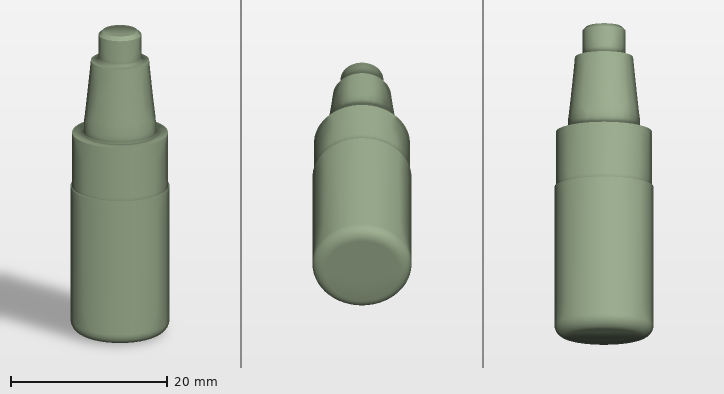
import cadquery as cq

barrel_height = 19.05
flange_top = 19.6
shoulder_height = 26.85
taper_start = 29.27
taper_end = 36.62
total_height = 40.6

barrel_radius = 12.7 / 2
bottom_fillet = 1.5

collar_radius = 12.3 / 2
nozzle_root_radius = 4.63
nozzle_mid_radius = 4.63
taper_start_radius = 4.5
taper_end_radius = 3.75
nozzle_fillet = 0.25
tip_radius = 5.5 / 2
tip_fillet = 0.5
tip_chamfer = 0.5

FILLET_MID = 1 - 0.5 ** 0.5


def add_root_fillet(profile, radius, base_height, size):
    """Extend a profile from a flat shoulder up a concave fillet to the given radius."""
    return profile.lineTo(radius + size, base_height).threePointArc(
        (radius + FILLET_MID * size, base_height + FILLET_MID * size),
        (radius, base_height + size),
    )


def make_barrel():
    """Solid cylinder with a rounded bottom edge."""
    barrel = cq.Workplane("XY").circle(barrel_radius).extrude(barrel_height)
    return barrel.faces("<Z").edges().fillet(bottom_fillet)


def make_cap():
    """Turned cap: flange flush with the barrel, collar, bulged nozzle root, taper and tip."""
    profile = (
        cq.Workplane("XZ")
        .moveTo(0, barrel_height)
        .lineTo(barrel_radius, barrel_height)
        .lineTo(barrel_radius, flange_top)
        .lineTo(collar_radius, flange_top)
        .lineTo(collar_radius, shoulder_height)
    )
    profile = add_root_fillet(profile, nozzle_root_radius, shoulder_height, nozzle_fillet)
    root_mid_height = (shoulder_height + nozzle_fillet + taper_start) / 2
    profile = (
        profile.threePointArc((nozzle_mid_radius, root_mid_height), (taper_start_radius, taper_start))
        .lineTo(taper_end_radius, taper_end)
    )
    profile = add_root_fillet(profile, tip_radius, taper_end, tip_fillet)
    profile = (
        profile.lineTo(tip_radius, total_height - tip_chamfer)
        .lineTo(tip_radius - tip_chamfer, total_height)
        .lineTo(0, total_height)
        .close()
    )
    return profile.revolve(360, (0, 0, 0), (0, 1, 0))


barrel = make_barrel()
cap = make_cap()

result = cq.Compound.makeCompound([barrel.val(), cap.val()])